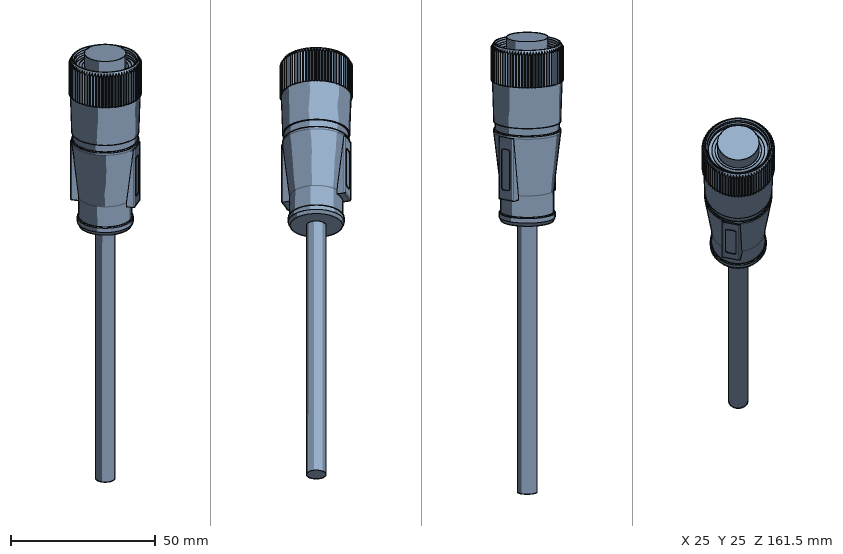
import cadquery as cq
import math

TOTAL_LENGTH = 161.5

CABLE_RADIUS = 3.4

INSERT_DIAMETER = 14.4

NUT_DIAMETER = 25.0
NUT_RADIUS = NUT_DIAMETER / 2
NUT_TOP = 159.4
NUT_BOTTOM = 146.3
NUT_CHAMFER_WIDTH = 1.0
NUT_CHAMFER_HEIGHT = 1.6
TOOTH_COUNT = 72
TOOTH_DEPTH = 0.6
TOOTH_TIP_SHARE = 0.2

FLOOR_RADIUS = 10.3
FLOOR_Z = 156.5
STEP_RADIUS = 10.8
STEP_Z = 157.5
MOUTH_RADIUS = 11.3

SEAL_RADIUS = 8.5
SEAL_SECTION_RADIUS = 0.57

SLEEVE_TOP_RADIUS = 12.1
SLEEVE_BOTTOM_RADIUS = 11.6
SLEEVE_BOTTOM = 131.6
NECK_RADIUS = 11.1
GRIP_TOP = 129.0
GRIP_RADIUS = 11.6
GRIP_CHAMFER = 0.3
GRIP_CONE_TOP = 127.9
GRIP_CONE_BOTTOM = 107.2
TAIL_RADIUS = 9.2
COLLAR_TOP = 99.6
COLLAR_RADIUS = 9.7
COLLAR_BOTTOM = 96.4
COLLAR_CHAMFER_WIDTH = 0.6
COLLAR_CHAMFER_HEIGHT = 1.3
COLLAR_TOP_CHAMFER = 0.3

WING_WIDTH = 6.5
WING_BOTTOM = 105.6
WING_EDGE_RADIUS = 0.5

PAD_WIDTH = 3.7
PAD_TOP = 123.7
PAD_BOTTOM = 109.2
PAD_CORNER = 1.0
PAD_DEPTH = 0.2


def revolve_outline(points):
    """Revolve (radius, height) points, closed along the axis, around Z."""
    return cq.Workplane("XZ").polyline(points).close().revolve(360, (0, 0, 0), (0, 1, 0))


def make_housing():
    return revolve_outline([
        (0, 0),
        (CABLE_RADIUS, 0),
        (CABLE_RADIUS, COLLAR_BOTTOM),
        (COLLAR_RADIUS - COLLAR_CHAMFER_WIDTH, COLLAR_BOTTOM),
        (COLLAR_RADIUS, COLLAR_BOTTOM + COLLAR_CHAMFER_HEIGHT),
        (COLLAR_RADIUS, COLLAR_TOP - COLLAR_TOP_CHAMFER),
        (COLLAR_RADIUS - COLLAR_TOP_CHAMFER, COLLAR_TOP),
        (TAIL_RADIUS, COLLAR_TOP),
        (TAIL_RADIUS, GRIP_CONE_BOTTOM),
        (GRIP_RADIUS, GRIP_CONE_TOP),
        (GRIP_RADIUS, GRIP_TOP - GRIP_CHAMFER),
        (GRIP_RADIUS - GRIP_CHAMFER, GRIP_TOP),
        (NECK_RADIUS, GRIP_TOP),
        (NECK_RADIUS, SLEEVE_BOTTOM),
        (SLEEVE_BOTTOM_RADIUS, SLEEVE_BOTTOM),
        (SLEEVE_TOP_RADIUS, NUT_BOTTOM),
        (0, NUT_BOTTOM),
    ])


def polar(radius, angle):
    return (radius * math.cos(angle), radius * math.sin(angle))


def make_nut():
    tooth_angle = 2 * math.pi / TOOTH_COUNT
    half_tip = tooth_angle * TOOTH_TIP_SHARE / 2
    points = []
    for index in range(TOOTH_COUNT):
        root_angle = index * tooth_angle
        tip_angle = root_angle + tooth_angle / 2
        points.append(polar(NUT_RADIUS - TOOTH_DEPTH, root_angle))
        points.append(polar(NUT_RADIUS, tip_angle - half_tip))
        points.append(polar(NUT_RADIUS, tip_angle + half_tip))
    toothed = (
        cq.Workplane("XY").workplane(offset=NUT_BOTTOM).polyline(points).close()
        .extrude(NUT_TOP - NUT_BOTTOM)
    )
    envelope = revolve_outline([
        (0, NUT_BOTTOM),
        (NUT_RADIUS, NUT_BOTTOM),
        (NUT_RADIUS, NUT_TOP - NUT_CHAMFER_HEIGHT),
        (NUT_RADIUS - NUT_CHAMFER_WIDTH, NUT_TOP),
        (0, NUT_TOP),
    ])
    return toothed.intersect(envelope)


def make_recess():
    return revolve_outline([
        (0, FLOOR_Z),
        (FLOOR_RADIUS, FLOOR_Z),
        (FLOOR_RADIUS, STEP_Z),
        (STEP_RADIUS, STEP_Z + STEP_RADIUS - FLOOR_RADIUS),
        (STEP_RADIUS, NUT_TOP - MOUTH_RADIUS + STEP_RADIUS),
        (MOUTH_RADIUS, NUT_TOP),
        (0, NUT_TOP),
    ])


def make_seal():
    return (
        cq.Workplane("XZ").center(SEAL_RADIUS, FLOOR_Z).circle(SEAL_SECTION_RADIUS)
        .revolve(360, (-SEAL_RADIUS, 0, 0), (-SEAL_RADIUS, 1, 0))
    )


def make_insert():
    return (
        cq.Workplane("XY").workplane(offset=NUT_BOTTOM).circle(INSERT_DIAMETER / 2)
        .extrude(TOTAL_LENGTH - NUT_BOTTOM)
    )


def make_wings():
    height = GRIP_CONE_TOP - WING_BOTTOM
    return (
        cq.Workplane("XY").box(2 * GRIP_RADIUS, WING_WIDTH, height)
        .edges("|Z or (|Y and <Z)").fillet(WING_EDGE_RADIUS)
        .translate((0, 0, WING_BOTTOM + height / 2))
    )


def make_pad_recesses():
    height = PAD_TOP - PAD_BOTTOM
    pad = (
        cq.Workplane("XY").box(2 * PAD_DEPTH, PAD_WIDTH, height).edges("|X").fillet(PAD_CORNER)
        .translate((GRIP_RADIUS, 0, PAD_BOTTOM + height / 2))
    )
    return pad.union(pad.mirror("YZ"))


result = (
    make_housing()
    .union(make_nut())
    .cut(make_recess())
    .union(make_seal())
    .union(make_insert())
    .union(make_wings())
    .cut(make_pad_recesses())
)